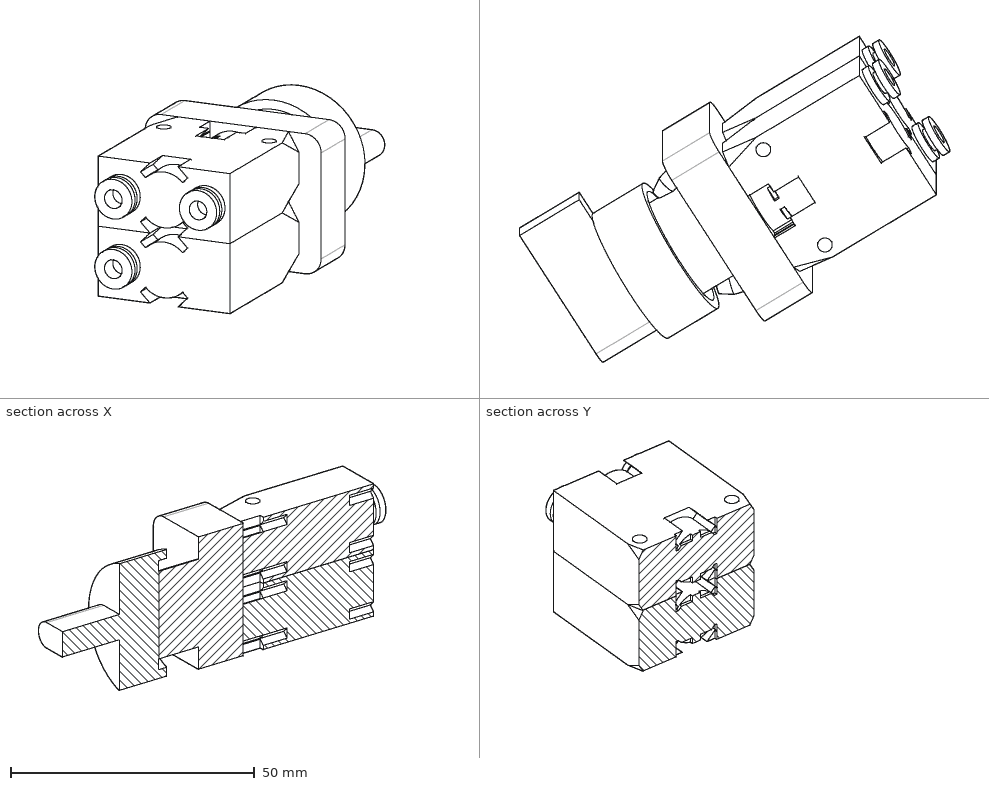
import cadquery as cq
import math


body_size = 30.0
tiny = 0.1

plate_width = 40.0
plate_length = 11.45
plate_corner_radius = 3.65
neck_diameter = 21.7
neck_gap = 8.05
peg_diameter = 4.0
peg_tip_diameter = 2.0
peg_shaft_length = 3.7
peg_tip_length = 3.0
peg_tilt = 15.0
peg_offset = 13.6
peg_root = 1.7

knob_length = 12.0
knob_recess_diameter = 26.0
knob_recess_depth = 2.0
handle_length = 14.45
handle_thickness = 5.8
handle_round_end = 12.6
handle_square_end = plate_width / 2

block_length = 33.0
block_height = body_size / 2
corner_cut_x = 2.4
corner_cut_z = 4.15
corner_cut_length = 8.05
bolt_hole_diameter = 3.0
bolt_hole_x = 11.95
bolt_hole_y = -8.0

slot_core_radius = 6.0
slot_outer_reach = 7.55
front_slot_length = 6.1
rear_slot_length = 11.0
rear_mouth_length = 5.0
rear_mouth_half_width = 5.2
rear_mouth_floor = 3.7
notch_inner_x = 1.1
notch_outer_x = 3.9
notch_length = 1.1

fitting_diameter = 8.5
fitting_flange = 1.5
fitting_groove_width = 1.0
fitting_groove_diameter = 5.0
fitting_length = 2 * fitting_flange + fitting_groove_width
fitting_bore_diameter = 4.0
fitting_x = 9.6

knob_front = plate_length + neck_gap
neck_end = knob_front + knob_recess_depth
knob_back = knob_front + knob_length


def box_between(x_range, y_range, z_range):
    """Box from its lower and upper limit along each axis."""
    (x0, x1), (y0, y1), (z0, z1) = x_range, y_range, z_range
    corner = cq.Vector(x0, y0, z0)
    return cq.Workplane(cq.Solid.makeBox(x1 - x0, y1 - y0, z1 - z0, corner))


def rod(diameter, y_start, y_end, x=0.0):
    """Cylinder along Y at height Z = 0."""
    start = cq.Vector(x, y_start, 0)
    return cq.Workplane(cq.Solid.makeCylinder(diameter / 2, y_end - y_start, start, cq.Vector(0, 1, 0)))



def make_peg(side):
    """Tilted round peg with a tapered tip; side is +1 or -1 along X."""
    tilt = math.radians(peg_tilt)
    direction = cq.Vector(-side * math.sin(tilt), math.cos(tilt), 0)
    foot = cq.Vector(side * peg_offset, plate_length, 0)
    root = foot - direction * peg_root
    shoulder = foot + direction * peg_shaft_length
    shaft = cq.Solid.makeCylinder(peg_diameter / 2, peg_root + peg_shaft_length, root, direction)
    tip = cq.Solid.makeCone(peg_diameter / 2, peg_tip_diameter / 2, peg_tip_length, shoulder, direction)
    return cq.Workplane(shaft).union(cq.Workplane(tip))


def make_mounting_body():
    half_width = plate_width / 2
    half_height = body_size / 2
    plate = box_between((-half_width, half_width), (0, plate_length), (-half_height, half_height))
    body = plate.edges("|Y").fillet(plate_corner_radius)
    body = body.union(rod(neck_diameter, 0, neck_end))
    for side in (-1, 1):
        body = body.union(make_peg(side))
    return body



def make_knob():
    recess = rod(knob_recess_diameter, knob_front, neck_end)
    disc = rod(body_size, knob_front, knob_back).cut(recess)
    half_thickness = handle_thickness / 2
    tangent_x = handle_round_end - half_thickness
    handle = (
        cq.Workplane("XZ", origin=(0, knob_back, 0))
        .moveTo(-handle_square_end, -half_thickness)
        .lineTo(tangent_x, -half_thickness)
        .threePointArc((handle_round_end, 0), (tangent_x, half_thickness))
        .lineTo(-handle_square_end, half_thickness)
        .close()
        .extrude(-handle_length)
    )
    return disc.union(handle)



def make_corner_cut(x_side, z_side):
    """Corner-removing tetrahedron at the end of the block next to the plate."""
    x_face = x_side * body_size / 2
    z_face = z_side * block_height / 2
    corner = cq.Vector(x_face, 0, z_face)
    along_x = cq.Vector(x_face - x_side * corner_cut_x, 0, z_face)
    along_y = cq.Vector(x_face, -corner_cut_length, z_face)
    along_z = cq.Vector(x_face, 0, z_face - z_side * corner_cut_z)
    triangles = (
        (corner, along_x, along_y),
        (corner, along_y, along_z),
        (corner, along_z, along_x),
        (along_x, along_y, along_z),
    )
    faces = [cq.Face.makeFromWires(cq.Wire.makePolygon([*points, points[0]])) for points in triangles]
    return cq.Workplane(cq.Solid.makeSolid(cq.Shell.makeShell(faces)))


def make_core(length):
    """Round core left standing in a slot that runs from Y = 0 toward -Y."""
    return rod(2 * slot_core_radius, -length, 0)


def make_channel(length):
    """Prism with walls at 45 degrees, from Y = 0 toward -Y, before the core is taken out."""
    wing = slot_outer_reach / math.sqrt(2)
    outline = [(0, 0), (wing, wing), (0, 2 * wing), (-wing, wing)]
    return cq.Workplane("XZ").polyline(outline).close().extrude(length)


def make_front_slot():
    slot = make_channel(front_slot_length).cut(make_core(front_slot_length))
    return slot.translate((0, front_slot_length - block_length, 0))


def make_rear_slot():
    """Undercut channel with a wide mouth at the plate end."""
    mouth = box_between(
        (-rear_mouth_half_width, rear_mouth_half_width),
        (-rear_mouth_length, 0),
        (rear_mouth_floor, block_height),
    )
    return make_channel(rear_slot_length).union(mouth).cut(make_core(rear_slot_length))


def make_notches():
    """Two small flat-floored notches in the core at the inner end of the rear mouth."""
    floor = math.sqrt(slot_core_radius**2 - notch_outer_x**2)
    y_range = (-rear_mouth_length, notch_length - rear_mouth_length)
    z_range = (floor, slot_core_radius)
    left = box_between((-notch_outer_x, -notch_inner_x), y_range, z_range)
    return left.add(left.mirror("YZ")).combine()


def make_fitting(x):
    """Grooved tube fitting standing on the block's front face."""
    tip = -block_length - fitting_length
    groove_start = tip + fitting_flange
    groove_end = groove_start + fitting_groove_width
    fitting = rod(fitting_diameter, tip, groove_start, x)
    fitting = fitting.union(rod(fitting_groove_diameter, groove_start, groove_end, x))
    fitting = fitting.union(rod(fitting_diameter, groove_end, -block_length, x))
    return fitting.cut(rod(fitting_bore_diameter, tip, -block_length, x))


def make_valve_block(z_center, fitting_places):
    half_width = body_size / 2
    half_height = block_height / 2
    block = box_between((-half_width, half_width), (-block_length, 0), (-half_height, half_height))
    for x_side in (-1, 1):
        for z_side in (-1, 1):
            block = block.cut(make_corner_cut(x_side, z_side))
    slots = (make_front_slot(), make_rear_slot(), make_notches())
    for slot in slots:
        block = block.cut(slot).cut(slot.mirror("XY"))
    bolt_places = [(-bolt_hole_x, bolt_hole_y), (bolt_hole_x, bolt_hole_y)]
    bolt_holes = (
        cq.Workplane("XY", origin=(0, 0, -half_height - tiny))
        .pushPoints(bolt_places)
        .circle(bolt_hole_diameter / 2)
        .extrude(block_height + 2 * tiny)
    )
    block = block.cut(bolt_holes)
    for x in fitting_places:
        block = block.union(make_fitting(x))
    return block.translate((0, 0, z_center))


mounting_body = make_mounting_body()
knob = make_knob()
block_layout = (
    (block_height / 2, (-fitting_x, fitting_x)),
    (-block_height / 2, (-fitting_x,)),
)
valve_blocks = [make_valve_block(z_center, places) for z_center, places in block_layout]

bodies = [mounting_body, knob, *valve_blocks]
result = cq.Compound.makeCompound([body.solids().val() for body in bodies])